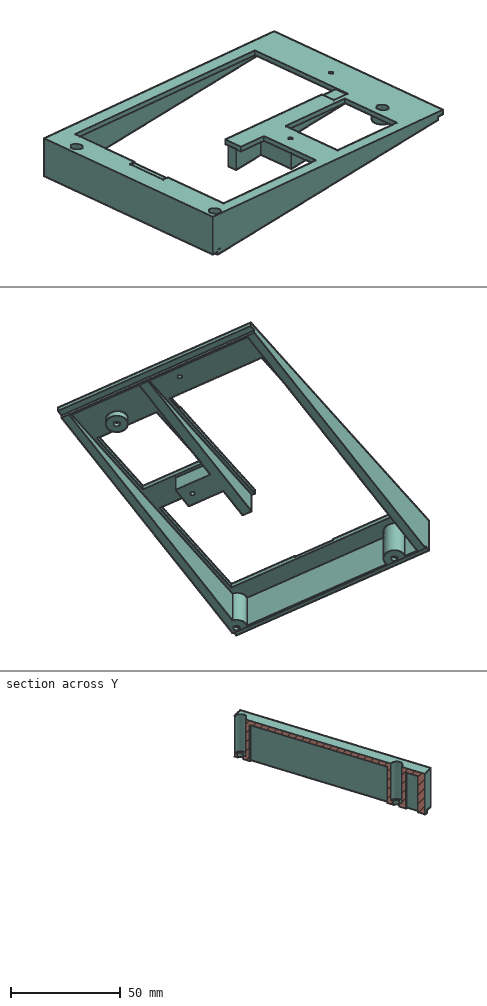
import cadquery as cq

width = 102.1
length = 159.5
front_height = 22.0
rear_height = 4.0
step_length = 3.2
step_height = 1.6

wall_thickness = 4.0
plate_thickness = 2.5

window_left = 6.7
window_right = 96.5
window_front = 13.9
main_window_rear = 138.5
bar_left = 55.5
bar_right = 65.1
bar_front = 61.9
crossbar_front = 77.9
crossbar_rear = 92.8
small_window_rear = 133.8

plate_overhang = 1.6
rib_thickness = 4.8
rib_front = 62.2
rib_bottom = 1.0
block_right = 80.2

recess_depth = 0.6
recess_right = 62.9
bar_recess_front = 128.9
front_recess_left = 42.8
front_recess_front = 10.5

screw_diameter = 2.9
screw_head_diameter = 5.6
screw_seat_height = 2.2
boss_diameter = 10.0
pilot_diameter = 2.0
rear_screw = (82.3, 140.2)
screw_positions = [(15.3, 5.1), (98.9, 5.1), rear_screw]
pilot_positions = [(44.2, 148.4), (74.7, 85.3)]


def box(x0, x1, y0, y1, z0=0.0, z1=front_height):
    """Upright box between two opposite corners."""
    return cq.Workplane("XY").box(x1 - x0, y1 - y0, z1 - z0, centered=False).translate((x0, y0, z0))


def cylinder(diameter, position, z0=0.0):
    """Upright cylinder from z0 to the highest level of the body."""
    base = cq.Workplane("XY", origin=(*position, z0))
    return base.circle(diameter / 2).extrude(front_height - z0)


def extrude_profile(points):
    """Full-width prism from a YZ outline."""
    return cq.Workplane("YZ").polyline(points).close().extrude(width)


def space_below(depth):
    """Full-width wedge lying below the top slope by a vertical depth."""
    return extrude_profile([
        (0, 0),
        (length, 0),
        (length, rear_height - depth),
        (0, front_height - depth),
    ])


wedge = extrude_profile([
    (step_length, 0),
    (length - step_length, 0),
    (length - step_length, step_height),
    (length, step_height),
    (length, rear_height),
    (0, front_height),
    (0, step_height),
    (step_length, step_height),
])

interior = box(
    wall_thickness,
    width - wall_thickness,
    wall_thickness,
    length - wall_thickness,
)
body = wedge.cut(interior.intersect(space_below(plate_thickness)))

rib_left = bar_left + plate_overhang
rib = box(rib_left, rib_left + rib_thickness, rib_front, length - wall_thickness, rib_bottom)
block = box(
    rib_left,
    block_right,
    crossbar_front + plate_overhang,
    crossbar_rear - plate_overhang,
    rib_bottom,
)
supports = rib.union(block)

for position in screw_positions:
    supports = supports.union(cylinder(boss_diameter, position))
supports = supports.intersect(wedge).intersect(space_below(plate_thickness))

windows = [
    box(window_left, bar_left, window_front, main_window_rear),
    box(window_left, window_right, window_front, bar_front),
    box(bar_right, window_right, window_front, crossbar_front),
    box(bar_right, window_right, crossbar_rear, small_window_rear),
]
for window in windows:
    body = body.cut(window)

body = body.union(supports)

recesses = [
    box(bar_left, recess_right, bar_recess_front, main_window_rear),
    box(front_recess_left, recess_right, front_recess_front, window_front),
]
for recess in recesses:
    body = body.cut(recess.cut(space_below(recess_depth)))

for position in screw_positions:
    body = body.cut(cylinder(screw_diameter, position))
    body = body.cut(cylinder(screw_head_diameter, position, screw_seat_height))
for position in pilot_positions:
    body = body.cut(cylinder(pilot_diameter, position))

result = body